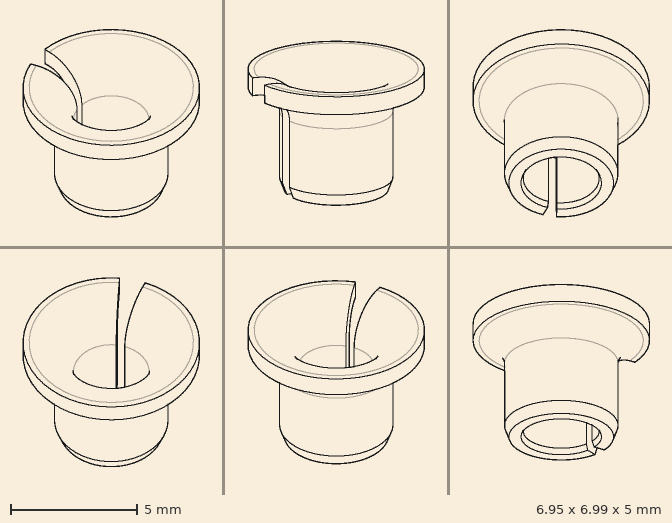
import cadquery as cq
import math

height = 5.0
flange_radius = 3.495
barrel_radius = 2.25
bore_radius = 1.5

mouth_curve_radius = 1.75
curve_center_r = bore_radius + mouth_curve_radius
curve_center_z = height - mouth_curve_radius
neck_curve_radius = curve_center_r - barrel_radius
flange_bottom_z = curve_center_z + neck_curve_radius

lead_in_height = 0.49
bore_taper_height = 0.245
edge_taper = math.tan(math.radians(20.0))
lead_in_depth = lead_in_height * edge_taper
bore_taper_depth = bore_taper_height * edge_taper

slot_half_angle = 10.0
slot_apex_x = -0.5
slot_end_x = -1.2 * flange_radius


def make_body():
    """Revolve the wall section about Z, with the seam on -X where the slot removes it."""
    diagonal = math.sqrt(0.5)

    def curve_middle(radius):
        return (curve_center_r - radius * diagonal, curve_center_z + radius * diagonal)

    section = (
        cq.Workplane("XZ")
        .moveTo(bore_radius + bore_taper_depth, 0)
        .lineTo(barrel_radius - lead_in_depth, 0)
        .lineTo(barrel_radius, lead_in_height)
        .lineTo(barrel_radius, curve_center_z)
        .threePointArc(curve_middle(neck_curve_radius), (curve_center_r, flange_bottom_z))
        .lineTo(flange_radius, flange_bottom_z)
        .lineTo(flange_radius, height)
        .lineTo(curve_center_r, height)
        .threePointArc(curve_middle(mouth_curve_radius), (bore_radius, curve_center_z))
        .lineTo(bore_radius, bore_taper_height)
        .close()
    )
    return section.revolve(360, (0, 0, 0), (0, 1, 0)).rotate((0, 0, 0), (0, 0, 1), 180)


def make_slot():
    """Full-height wedge that widens towards -X."""
    half_width = (slot_apex_x - slot_end_x) * math.tan(math.radians(slot_half_angle))
    return (
        cq.Workplane("XY")
        .polyline([(slot_apex_x, 0), (slot_end_x, half_width), (slot_end_x, -half_width)])
        .close()
        .extrude(height)
    )


result = make_body().cut(make_slot())